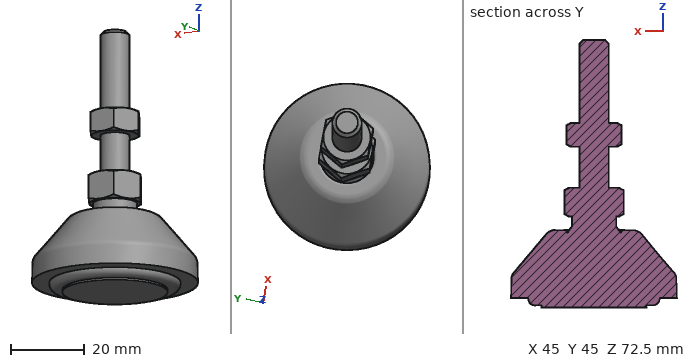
import cadquery as cq
import math

TOTAL_HEIGHT = 72.5
BASE_DIAMETER = 45.0

PAD_RADIUS = 17.8
PAD_FOOT_RADIUS = 14.3
PAD_FOOT_HEIGHT = 0.6
PAD_EDGE_RADIUS = 1.9

BASE_BOTTOM = 2.6
BASE_TOP = 21.1
RIM_TOP = 7.7
RIM_TOP_RADIUS = 22.4
SHOULDER_Z = 9.6
SHOULDER_RADIUS = 21.7
CONE_TOP_Z = 20.1
CONE_TOP_RADIUS = 12.8
TOP_FACE_RADIUS = 10.6
RIM_BULGE = 0.2
TOP_BULGE = 0.2

SOCKET_MOUTH_RADIUS = 8.1
SOCKET_RADIUS = 7.25
SOCKET_DEPTH = 1.6

STEM_RADIUS = 4.0
STEM_CHAMFER_HEIGHT = 1.0
STEM_CHAMFER_WIDTH = 1.0
NECK_RADIUS = 6.0
FLARE_TOP = 22.05
FLARE_BOTTOM = 20.4

HEX_BOTTOM = 24.65
HEX_HEIGHT = 7.8
HEX_ACROSS_FLATS = 14.0
NUT_BOTTOM = 43.6
NUT_HEIGHT = 6.45
NUT_ACROSS_FLATS = 13.0
CHAMFER_ANGLE = 30.0
HALF_CORNER_ANGLE = 30.0
CHAMFER_CIRCLE_RATIO = 0.98


def arc_middle(start, end, bulge):
    """Point halfway along an arc, offset to the left of the chord by bulge."""
    dx, dz = end[0] - start[0], end[1] - start[1]
    length = math.hypot(dx, dz)
    return (
        (start[0] + end[0]) / 2 - bulge * dz / length,
        (start[1] + end[1]) / 2 + bulge * dx / length,
    )


def revolve(profile):
    return profile.close().revolve(360, (0, 0, 0), (0, 1, 0))


def make_pad():
    edge_z = PAD_FOOT_HEIGHT + PAD_EDGE_RADIUS
    edge_start = (PAD_RADIUS - PAD_EDGE_RADIUS, PAD_FOOT_HEIGHT)
    return revolve(
        cq.Workplane("XZ")
        .lineTo(PAD_FOOT_RADIUS, 0)
        .lineTo(PAD_FOOT_RADIUS, PAD_FOOT_HEIGHT)
        .lineTo(*edge_start)
        .radiusArc((PAD_RADIUS, edge_z), -PAD_EDGE_RADIUS)
        .lineTo(PAD_RADIUS, BASE_BOTTOM)
        .lineTo(0, BASE_BOTTOM)
    )


def make_base():
    rim = (RIM_TOP_RADIUS, RIM_TOP)
    shoulder = (SHOULDER_RADIUS, SHOULDER_Z)
    cone_top = (CONE_TOP_RADIUS, CONE_TOP_Z)
    top_edge = (TOP_FACE_RADIUS, BASE_TOP)
    mouth = (SOCKET_MOUTH_RADIUS, BASE_TOP)
    lip_drop = SOCKET_MOUTH_RADIUS - SOCKET_RADIUS
    lip_end = (SOCKET_RADIUS, BASE_TOP - lip_drop)
    floor_z = BASE_TOP - SOCKET_DEPTH
    return revolve(
        cq.Workplane("XZ")
        .moveTo(0, BASE_BOTTOM)
        .lineTo(BASE_DIAMETER / 2, BASE_BOTTOM)
        .lineTo(*rim)
        .threePointArc(arc_middle(rim, shoulder, -RIM_BULGE), shoulder)
        .lineTo(*cone_top)
        .threePointArc(arc_middle(cone_top, top_edge, -TOP_BULGE), top_edge)
        .lineTo(*mouth)
        .radiusArc(lip_end, -lip_drop)
        .lineTo(SOCKET_RADIUS, floor_z)
        .lineTo(0, floor_z)
    )


def make_stem():
    floor_z = BASE_TOP - SOCKET_DEPTH
    return revolve(
        cq.Workplane("XZ")
        .moveTo(0, floor_z)
        .lineTo(SOCKET_RADIUS, floor_z)
        .lineTo(SOCKET_RADIUS, FLARE_BOTTOM)
        .lineTo(NECK_RADIUS, FLARE_TOP)
        .lineTo(NECK_RADIUS, HEX_BOTTOM)
        .lineTo(STEM_RADIUS, HEX_BOTTOM)
        .lineTo(STEM_RADIUS, TOTAL_HEIGHT - STEM_CHAMFER_HEIGHT)
        .lineTo(STEM_RADIUS - STEM_CHAMFER_WIDTH, TOTAL_HEIGHT)
        .lineTo(0, TOTAL_HEIGHT)
    )


def make_hexagon(bottom, height, across_flats):
    """Hexagon with corners on the X axis and both ends turned to a cone."""
    across_corners = across_flats / math.cos(math.radians(HALF_CORNER_ANGLE))
    end_radius = CHAMFER_CIRCLE_RATIO * across_flats / 2
    outer_radius = across_corners / 2
    drop = (outer_radius - end_radius) * math.tan(math.radians(CHAMFER_ANGLE))
    top = bottom + height
    prism = (
        cq.Workplane("XY")
        .workplane(offset=bottom)
        .polygon(6, across_corners)
        .extrude(height)
    )
    turned = revolve(
        cq.Workplane("XZ")
        .moveTo(0, bottom)
        .lineTo(end_radius, bottom)
        .lineTo(outer_radius, bottom + drop)
        .lineTo(outer_radius, top - drop)
        .lineTo(end_radius, top)
        .lineTo(0, top)
    )
    return prism.intersect(turned)


result = (
    make_base()
    .union(make_pad())
    .union(make_stem())
    .union(make_hexagon(HEX_BOTTOM, HEX_HEIGHT, HEX_ACROSS_FLATS))
    .union(make_hexagon(NUT_BOTTOM, NUT_HEIGHT, NUT_ACROSS_FLATS))
)